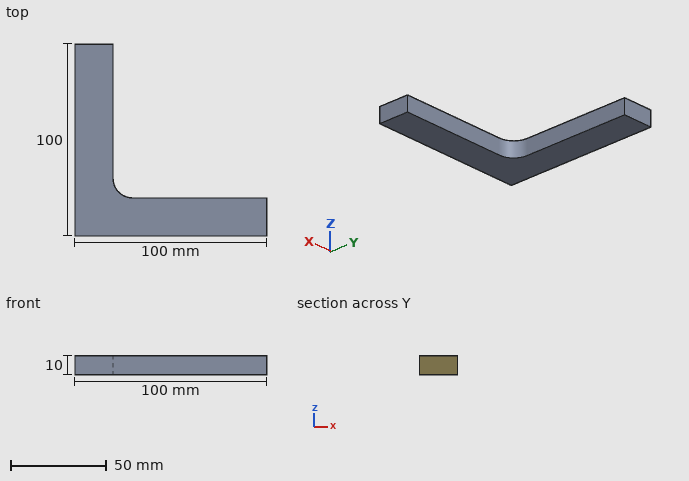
import cadquery as cq

leg_length = 100.0
leg_width = 20.0
thickness = 10.0
inner_corner_radius = 10.0

plate = (
    cq.Workplane("XY")
    .polyline([
        (0, 0),
        (leg_length, 0),
        (leg_length, leg_width),
        (leg_width, leg_width),
        (leg_width, leg_length),
        (0, leg_length),
    ])
    .close()
    .extrude(thickness)
)

inner_corner = cq.selectors.NearestToPointSelector((leg_width, leg_width, thickness / 2))
result = plate.edges("|Z").edges(inner_corner).fillet(inner_corner_radius)